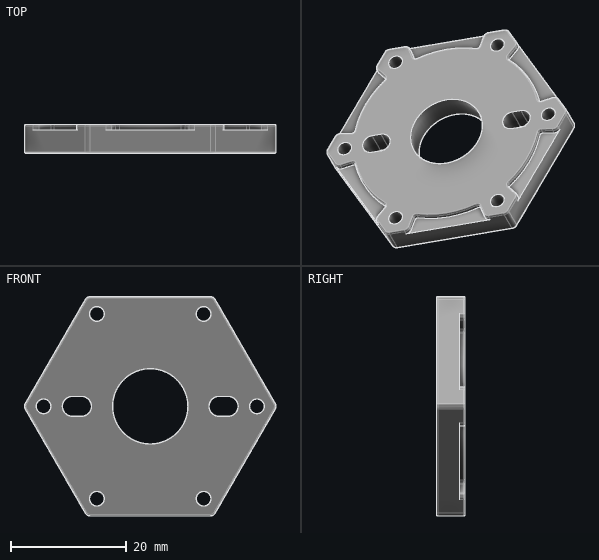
import cadquery as cq
import math

ACROSS_FLATS = 38.0
THICKNESS = 5.0
CORNER_RADIUS = 1.0
RIM_RADIUS = 0.25

BORE_DIAMETER = 13.0
SCREW_HOLE_DIAMETER = 2.5
SCREW_HEXAGON_ACROSS_FLATS = 32.0
SLOT_LENGTH = 5.0
SLOT_WIDTH = 3.4
SLOT_OFFSET = 12.7

RELIEF_DEPTH = 1.0
RELIEF_FLOOR_RADIUS = 17.0
RELIEF_MOUTH_HALF_WIDTH = 6.93
RELIEF_WALL_ANGLE = 20.0
RELIEF_OUTER_RADIUS = 1.0
RELIEF_INNER_RADIUS = 0.5

MATCH_TOLERANCE = 0.01

SIDES = 6
SIDE_ANGLE = 360.0 / SIDES
APOTHEM = ACROSS_FLATS / 2
CIRCUMRADIUS = APOTHEM / math.cos(math.pi / SIDES)
SCREW_CIRCLE_RADIUS = SCREW_HEXAGON_ACROSS_FLATS / 2 / math.cos(math.pi / SIDES)
FRONT_Y = -THICKNESS / 2
BACK_Y = THICKNESS / 2
RELIEF_FLOOR_Y = BACK_Y - RELIEF_DEPTH


def sketch_at(y):
    """Workplane at the given Y; local x is +X, local y is +Z, and extrusion runs toward -Y."""
    return cq.Workplane("XZ", origin=(0, y, 0))


def hexagon_plate(front_y, back_y):
    """Hexagonal prism with rounded corners between two Y positions."""
    return (
        sketch_at(back_y)
        .polygon(SIDES, 2 * CIRCUMRADIUS)
        .extrude(back_y - front_y)
        .edges("|Y")
        .fillet(CORNER_RADIUS)
    )


def relief_floor_corner():
    """X and Z where the flared wall of the top relief, x = foot + slope * z, meets the floor circle."""
    slope = math.tan(math.radians(RELIEF_WALL_ANGLE))
    foot = RELIEF_MOUTH_HALF_WIDTH - slope * APOTHEM
    a = 1 + slope**2
    b = foot * slope
    c = foot**2 - RELIEF_FLOOR_RADIUS**2
    corner_z = (-b + math.sqrt(b**2 - a * c)) / a
    return foot + slope * corner_z, corner_z


def relief_cutter(floor_x, floor_z):
    """Relief of the top side: flared walls and a floor concentric with the bore."""
    return (
        sketch_at(BACK_Y)
        .moveTo(-RELIEF_MOUTH_HALF_WIDTH, APOTHEM)
        .lineTo(-floor_x, floor_z)
        .threePointArc((0, RELIEF_FLOOR_RADIUS), (floor_x, floor_z))
        .lineTo(RELIEF_MOUTH_HALF_WIDTH, APOTHEM)
        .close()
        .extrude(RELIEF_DEPTH)
    )


def round_relief_edges(layer, x, z, radius):
    """Fillet all edges along Y that lie as far from the bore axis as the point (x, z)."""
    distance = math.hypot(x, z)

    def lies_at_distance(edge):
        center = edge.Center()
        return math.isclose(math.hypot(center.x, center.z), distance, abs_tol=MATCH_TOLERANCE)

    return layer.edges("|Y").filter(lies_at_distance).fillet(radius)


def relieved_layer():
    """Back layer of the plate, with a relief removed from every side and a rounded rim."""
    floor_x, floor_z = relief_floor_corner()
    cutter = relief_cutter(floor_x, floor_z)
    layer = hexagon_plate(RELIEF_FLOOR_Y, BACK_Y)
    for side in range(SIDES):
        layer = layer.cut(cutter.rotate((0, 0, 0), (0, 1, 0), side * SIDE_ANGLE))
    layer = round_relief_edges(layer, RELIEF_MOUTH_HALF_WIDTH, APOTHEM, RELIEF_OUTER_RADIUS)
    layer = round_relief_edges(layer, floor_x, floor_z, RELIEF_INNER_RADIUS)
    return layer.faces(">Y").edges().fillet(RIM_RADIUS)


def front_layer():
    """Full hexagonal layer below the reliefs, with a rounded front rim."""
    return hexagon_plate(FRONT_Y, RELIEF_FLOOR_Y).faces("<Y").edges().fillet(RIM_RADIUS)


def screw_holes():
    """One through hole near each corner of the hexagon."""
    return (
        sketch_at(BACK_Y)
        .polarArray(SCREW_CIRCLE_RADIUS, 0, 360, SIDES)
        .circle(SCREW_HOLE_DIAMETER / 2)
        .extrude(THICKNESS)
    )


def slots():
    """Two through slots along X, one on each side of the bore."""
    return (
        sketch_at(BACK_Y)
        .pushPoints([(-SLOT_OFFSET, 0), (SLOT_OFFSET, 0)])
        .slot2D(SLOT_LENGTH, SLOT_WIDTH)
        .extrude(THICKNESS)
    )


def bore():
    """Round opening through the middle of the plate."""
    return sketch_at(BACK_Y).circle(BORE_DIAMETER / 2).extrude(THICKNESS)


plate = front_layer().union(relieved_layer())
result = plate.cut(bore()).cut(screw_holes()).cut(slots())